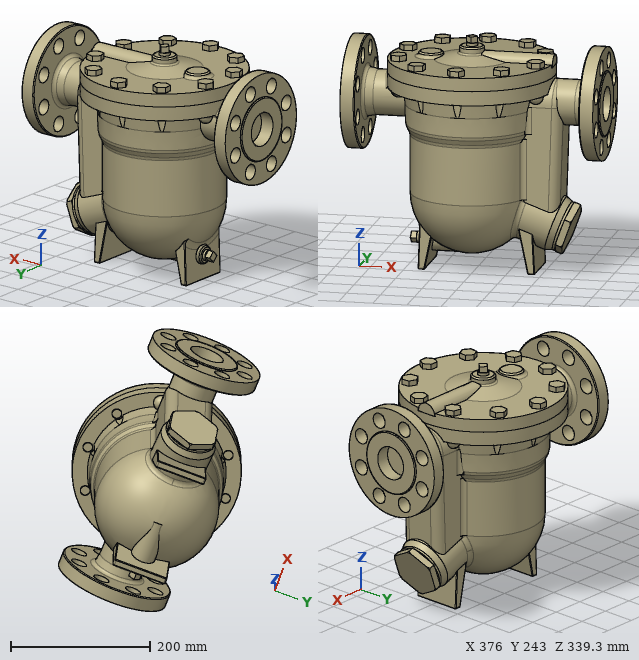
import cadquery as cq
import math


pipe_radius = 66.0 / 2
overall_length = 376.0
pipe_centre_x = 9.8
pipe_root_round = 2.5
flange_radius = 165.0 / 2
flange_thickness = 21.0
flange_edge_chamfer = 1.5
raised_face_radius = 47.8
raised_face_height = 2.3
raised_face_chamfer = 1.5
hub_length = 16.5
hub_taper_length = 12.0
hub_base_radius = 41.0
hub_mid_radius = 35.5
hub_root_round = 6.8
bore_radius = 50.0 / 2
bore_depth = 21.0
flange_hole_diameter = 23.0
flange_hole_circle = 63.5
flange_hole_count = 8

box_slack = 0.5

cover_radius = 243.0 / 2
joint_z = 37.5
body_flange_bottom = 16.5
neck_top_radius = 99.5
collar_top = -8.5
collar_top_radius = 96.5
collar_bottom = -37.2
collar_bottom_radius = 95.5
step_round_bottom = -42.0
step_round_radius = 94.5
step_cone_bottom = -49.5
step_cone_radius = 90.5
vessel_top = -54.5
vessel_radius = 89.0
dome_centre_z = -139.5

bolt_count = 10
bolt_step = 360 / bolt_count
bolt_circle = 106.0
bolt_diameter = 14.0
bolt_tip_length = 2.3
head_across_flats = 21.8
head_height = 8.3
neck_groove_radius = 9.5
bolt_boss_radius = 11.0
bolt_boss_dome_z = 13.0

cover_top = 57.0
crown_base_radius = 55.3
crown_top = 65.0
boss_radius = 36.0 / 2
boss_round = 2.3
centre_boss_top = 76.5
centre_boss_foot_round = 2.5
side_boss_x = -60.0
side_boss_top = 64.5
side_boss_foot_round = 5.3
duct_radius = 16.0
duct_axis_z = 53.0

trunk_half_width = 35.5
trunk_top_x = 140.2
trunk_bottom_x = 134.0
trunk_bottom = -158.0
trunk_start_x = 45.0
trunk_nose_round = 14.3
trunk_arch_z = pipe_radius - trunk_half_width
trunk_web_round = 9.5
trunk_web_overlap = 3.8

strainer_tilt = 20.0
strainer_x = 123.7
strainer_z = -180.0
strainer_radius = 41.5
strainer_depth = 82.7
strainer_root_round = 9.0
strainer_lip_length = 9.8
strainer_plug_radius = 75.0 / 2
strainer_collar_length = 3.8
strainer_hex_corner_radius = 40.0
strainer_hex_length = 10.5
strainer_hex_chamfer = 2.0

foot_z = -249.3
inlet_leg_outline = [(-70.5, foot_z), (-61.3, foot_z), (-52.0, -205.0), (-52.0, -191.8), (-68.0, -173)]
outlet_leg_outline = [(90.0, foot_z), (100.0, foot_z), (97.0, -188), (96.5, -169.2), (75.2, -169.2), (76.5, -184.2)]
inlet_leg_half_width = 40.2
outlet_leg_half_width = 37.2
inlet_leg_root_round = 18.0
leg_edge_round = 1.0
leg_corner_round = 2.3
drain_z = -211.5
drain_channel_radius = 36.0 / 2
drain_channel_start = -60.0
drain_channel_end = 5.3
drain_boss_radius = 26.7 / 2
drain_boss_face_x = -75.5
drain_boss_chamfer = 2.0
drain_boss_foot_x = -69.5
drain_boss_foot_round = 2.0

plug_neck_radius = 8.3
plug_neck_length = 4.5
plug_square = 11.5
plug_head_length = 9.0


def polar_points(radius, count, start):
    """Points evenly spaced round a circle; start is in degrees."""
    angles = [math.radians(start + 360 / count * i) for i in range(count)]
    return [(radius * math.cos(a), radius * math.sin(a)) for a in angles]


def make_vessel():
    """Neck, collar, cylinder and hemispherical bottom turned about Z."""
    dome_diagonal = vessel_radius * math.sqrt(0.5)
    return (
        cq.Workplane("XZ")
        .moveTo(0, joint_z)
        .lineTo(cover_radius, joint_z)
        .lineTo(cover_radius, body_flange_bottom)
        .lineTo(neck_top_radius, body_flange_bottom)
        .lineTo(collar_top_radius, collar_top)
        .lineTo(collar_bottom_radius, collar_bottom)
        .lineTo(step_round_radius, step_round_bottom)
        .lineTo(step_cone_radius, step_cone_bottom)
        .lineTo(vessel_radius, vessel_top)
        .lineTo(vessel_radius, dome_centre_z)
        .threePointArc((dome_diagonal, dome_centre_z - dome_diagonal), (0, dome_centre_z - vessel_radius))
        .close()
        .revolve(360, (0, 0, 0), (0, 1, 0))
    )


def make_flanged_pipe():
    """One pipe half along X, from the middle of the run to a flange face at the far end."""
    face_x = overall_length / 2
    front_x = face_x - raised_face_height
    back_x = front_x - flange_thickness
    taper_start_x = back_x - hub_length
    taper_end_x = taper_start_x + hub_taper_length
    half = (
        cq.Workplane("XY")
        .moveTo(0, 0)
        .lineTo(0, pipe_radius)
        .lineTo(taper_start_x, pipe_radius)
        .lineTo(taper_end_x, hub_mid_radius)
        .radiusArc((back_x, hub_base_radius), -hub_root_round)
        .lineTo(back_x, flange_radius - flange_edge_chamfer)
        .lineTo(back_x + flange_edge_chamfer, flange_radius)
        .lineTo(front_x, flange_radius)
        .lineTo(front_x, raised_face_radius)
        .lineTo(face_x - raised_face_chamfer, raised_face_radius)
        .lineTo(face_x, raised_face_radius - raised_face_chamfer)
        .lineTo(face_x, 0)
        .close()
        .revolve(360, (0, 0, 0), (1, 0, 0))
    )
    bore = cq.Workplane("YZ", origin=(face_x - bore_depth, 0, 0)).circle(bore_radius).extrude(bore_depth)
    holes = (
        cq.Workplane("YZ", origin=(back_x, 0, 0))
        .pushPoints(polar_points(flange_hole_circle, flange_hole_count, 180 / flange_hole_count))
        .circle(flange_hole_diameter / 2)
        .extrude(flange_thickness)
    )
    return half.cut(bore).cut(holes)


def make_pipe_run():
    outlet = make_flanged_pipe()
    inlet = outlet.mirror("YZ")
    return outlet.union(inlet).translate((pipe_centre_x, 0, 0))


def make_trunk():
    """Arch-topped duct on the outlet side with a slightly sloping, rounded nose."""
    side = (
        cq.Workplane("XZ", origin=(0, trunk_half_width, 0))
        .moveTo(trunk_start_x, trunk_bottom)
        .lineTo(trunk_bottom_x, trunk_bottom)
        .lineTo(trunk_top_x, pipe_radius)
        .lineTo(trunk_start_x, pipe_radius)
        .close()
        .extrude(2 * trunk_half_width)
    )
    arch = (
        cq.Workplane("YZ", origin=(trunk_start_x, 0, 0))
        .moveTo(-trunk_half_width, trunk_bottom)
        .lineTo(-trunk_half_width, trunk_arch_z)
        .threePointArc((0, pipe_radius), (trunk_half_width, trunk_arch_z))
        .lineTo(trunk_half_width, trunk_bottom)
        .close()
        .extrude(trunk_top_x)
    )
    trunk = side.intersect(arch)
    return trunk.faces(">X").edges("not <Z").fillet(trunk_nose_round)


def make_trunk_web(wall_radius, bottom, top):
    """Concave webs that blend both trunk sides into a cylindrical wall."""
    centre_y = trunk_half_width + trunk_web_round
    centre_x = math.sqrt((wall_radius + trunk_web_round) ** 2 - centre_y ** 2)
    wall_share = wall_radius / (wall_radius + trunk_web_round)
    wall_x = centre_x * wall_share
    wall_y = centre_y * wall_share
    wall_angle = math.atan2(-centre_y, -centre_x) % (2 * math.pi)
    mid_angle = (wall_angle + 1.5 * math.pi) / 2
    arc_mid = (
        centre_x + trunk_web_round * math.cos(mid_angle),
        centre_y + trunk_web_round * math.sin(mid_angle),
    )
    root_y = trunk_half_width - trunk_web_overlap
    web = (
        cq.Workplane("XY", origin=(0, 0, bottom))
        .moveTo(wall_x, wall_y)
        .threePointArc(arc_mid, (centre_x, trunk_half_width))
        .lineTo(centre_x, root_y)
        .lineTo(wall_x, root_y)
        .close()
        .extrude(top - bottom)
    )
    return web.union(web.mirror("XZ"))


def along_strainer(shape):
    """Move a shape built along +X onto the inclined strainer axis."""
    return shape.rotate((0, 0, 0), (0, 1, 0), strainer_tilt).translate((strainer_x, 0, strainer_z))


def make_strainer_neck():
    neck = (
        cq.Workplane("XY")
        .moveTo(-strainer_depth, 0)
        .lineTo(-strainer_depth, strainer_radius)
        .lineTo(0, strainer_radius)
        .lineTo(strainer_lip_length, strainer_plug_radius)
        .lineTo(strainer_lip_length, 0)
        .close()
        .revolve(360, (0, 0, 0), (1, 0, 0))
    )
    return along_strainer(neck)


def make_leg(outline, half_width):
    """A plate foot spanning both sides of the XZ plane."""
    leg = (
        cq.Workplane("XZ", origin=(0, half_width, 0))
        .polyline(outline)
        .close()
        .extrude(2 * half_width)
    )
    leg = leg.faces("<Z").edges("|X").fillet(leg_corner_round)
    return leg.faces("<Z").edges("|Y").chamfer(leg_edge_round)


def make_inlet_leg():
    return make_leg(inlet_leg_outline, inlet_leg_half_width)


def make_outlet_leg():
    return make_leg(outlet_leg_outline, outlet_leg_half_width)


def make_drain_boss():
    channel = (
        cq.Workplane("YZ", origin=(drain_channel_start, 0, drain_z))
        .circle(drain_channel_radius)
        .extrude(drain_channel_end - drain_channel_start)
    )
    foot_round_x = drain_boss_foot_x - drain_boss_foot_round
    boss = (
        cq.Workplane("XY", origin=(0, 0, drain_z))
        .moveTo(drain_channel_start, 0)
        .lineTo(drain_channel_start, drain_boss_radius + drain_boss_foot_round)
        .lineTo(drain_boss_foot_x, drain_boss_radius + drain_boss_foot_round)
        .radiusArc((foot_round_x, drain_boss_radius), drain_boss_foot_round)
        .lineTo(drain_boss_face_x + drain_boss_chamfer, drain_boss_radius)
        .lineTo(drain_boss_face_x, drain_boss_radius - drain_boss_chamfer)
        .lineTo(drain_boss_face_x, 0)
        .close()
        .revolve(360, (0, 0, 0), (1, 0, 0))
    )
    return channel.union(boss)


def make_neck_groove():
    return (
        cq.Workplane("XY", origin=(0, 0, collar_top))
        .circle(neck_groove_radius)
        .extrude(body_flange_bottom - collar_top)
    )


def make_bolt_boss():
    """Round-ended boss that buries a bolt end where it stands over the pipe."""
    boss = (
        cq.Workplane("XY", origin=(0, 0, bolt_boss_dome_z))
        .circle(bolt_boss_radius)
        .extrude(body_flange_bottom - bolt_boss_dome_z)
    )
    dome = cq.Workplane("XY", origin=(0, 0, bolt_boss_dome_z)).sphere(bolt_boss_radius)
    return boss.union(dome)


def make_bolt_tip():
    return (
        cq.Workplane("XY", origin=(0, 0, body_flange_bottom - bolt_tip_length))
        .circle(bolt_diameter / 2)
        .extrude(bolt_tip_length)
    )


def edges_between(corner, opposite_corner):
    """Selector for edges whose centres lie in a box, with a little slack on every side."""
    low = [min(a, b) - box_slack for a, b in zip(corner, opposite_corner)]
    high = [max(a, b) + box_slack for a, b in zip(corner, opposite_corner)]
    return cq.selectors.BoxSelector(low, high)


def make_body():
    body = make_vessel().union(make_strainer_neck())
    strainer_root = edges_between(
        (vessel_radius / 2, -strainer_radius, dome_centre_z - vessel_radius),
        (vessel_radius, strainer_radius, dome_centre_z),
    )
    body = body.edges(strainer_root).fillet(strainer_root_round)

    body = body.union(make_inlet_leg())
    inlet_leg_x = inlet_leg_outline[-1][0]
    dome_drop = math.sqrt(vessel_radius ** 2 - inlet_leg_x ** 2)
    inlet_leg_root = cq.selectors.NearestToPointSelector((inlet_leg_x, 0, dome_centre_z - dome_drop))
    body = body.edges(inlet_leg_root).fillet(inlet_leg_root_round)

    body = body.union(make_pipe_run())
    inlet_pipe_root = edges_between(
        (-cover_radius, -pipe_radius, body_flange_bottom),
        (-neck_top_radius, pipe_radius, pipe_radius),
    )
    body = body.edges(inlet_pipe_root).fillet(pipe_root_round)

    body = body.union(make_trunk())
    body = body.union(make_trunk_web(vessel_radius, dome_centre_z, step_cone_bottom))
    body = body.union(make_trunk_web(collar_bottom_radius, step_round_bottom, trunk_arch_z))
    body = body.union(make_outlet_leg()).union(make_drain_boss())
    for x, y in polar_points(bolt_circle, bolt_count, 90):
        if abs(y) < pipe_radius:
            body = body.union(make_bolt_boss().translate((x, y, 0)))
        else:
            body = body.cut(make_neck_groove().translate((x, y, 0)))
            body = body.union(make_bolt_tip().translate((x, y, 0)))
    return body


def make_bolt_head():
    """Hexagon head with a flat facing the cover rim."""
    corner_diameter = head_across_flats / math.cos(math.radians(30))
    head = cq.Workplane("XY").polygon(6, corner_diameter).extrude(head_height)
    return head.rotate((0, 0, 0), (0, 0, 1), 30)


def make_cover():
    cover = (
        cq.Workplane("XZ")
        .moveTo(0, joint_z)
        .lineTo(cover_radius, joint_z)
        .lineTo(cover_radius, cover_top)
        .lineTo(crown_base_radius, cover_top)
        .lineTo(boss_radius + centre_boss_foot_round, crown_top)
        .radiusArc((boss_radius, crown_top + centre_boss_foot_round), centre_boss_foot_round)
        .lineTo(boss_radius, centre_boss_top - boss_round)
        .lineTo(boss_radius - boss_round, centre_boss_top)
        .lineTo(0, centre_boss_top)
        .close()
        .revolve(360, (0, 0, 0), (0, 1, 0))
    )
    duct = (
        cq.Workplane("YZ")
        .moveTo(-duct_radius, duct_axis_z)
        .threePointArc((0, duct_axis_z + duct_radius), (duct_radius, duct_axis_z))
        .close()
        .extrude(cover_radius)
    )
    side_boss = (
        cq.Workplane("XZ", origin=(side_boss_x, 0, 0))
        .moveTo(0, joint_z)
        .lineTo(boss_radius + side_boss_foot_round, joint_z)
        .lineTo(boss_radius + side_boss_foot_round, cover_top)
        .radiusArc((boss_radius, cover_top + side_boss_foot_round), side_boss_foot_round)
        .lineTo(boss_radius - boss_round, side_boss_top)
        .lineTo(0, side_boss_top)
        .close()
        .revolve(360, (0, 0, 0), (0, 1, 0))
    )
    cover = cover.union(duct).union(side_boss)
    head = make_bolt_head().translate((bolt_circle, 0, cover_top))
    for i in range(bolt_count):
        cover = cover.union(head.rotate((0, 0, 0), (0, 0, 1), 90 + bolt_step * i))
    return cover


def make_square_plug():
    """Round neck on the XY plane with a square head above it, corners along X and Y."""
    neck = cq.Workplane("XY").circle(plug_neck_radius).extrude(plug_neck_length)
    head = (
        cq.Workplane("XY", origin=(0, 0, plug_neck_length))
        .rect(plug_square, plug_square)
        .extrude(plug_head_length)
        .rotate((0, 0, 0), (0, 0, 1), 45)
    )
    return neck.union(head)


def make_square_plugs():
    """The air plug on the cover and the drain plug on the drain boss."""
    placements = [((0, 0, centre_boss_top), 0), ((drain_boss_face_x, 0, drain_z), -90)]
    plugs = []
    for position, turn in placements:
        plugs.append(make_square_plug().rotate((0, 0, 0), (0, 1, 0), turn).translate(position))
    return plugs


def make_strainer_plug():
    """Round collar and chamfered hexagon closing the strainer neck."""
    collar = (
        cq.Workplane("YZ", origin=(strainer_lip_length, 0, 0))
        .circle(strainer_plug_radius)
        .extrude(strainer_collar_length)
    )
    hex_start = (strainer_lip_length + strainer_collar_length, 0, 0)
    blank = (
        cq.Workplane("YZ", origin=hex_start)
        .circle(strainer_hex_corner_radius)
        .extrude(strainer_hex_length)
        .faces(">X")
        .chamfer(strainer_hex_chamfer)
    )
    hexagon = (
        cq.Workplane("YZ", origin=hex_start)
        .polygon(6, 2 * strainer_hex_corner_radius)
        .extrude(strainer_hex_length)
        .rotate((0, 0, 0), (1, 0, 0), 90)
        .intersect(blank)
    )
    return along_strainer(collar.union(hexagon))


body = make_body()
cover = make_cover()
square_plugs = make_square_plugs()
strainer_plug = make_strainer_plug()

result = cq.Compound.makeCompound(
    [body.val(), cover.val(), *[plug.val() for plug in square_plugs], strainer_plug.val()]
)